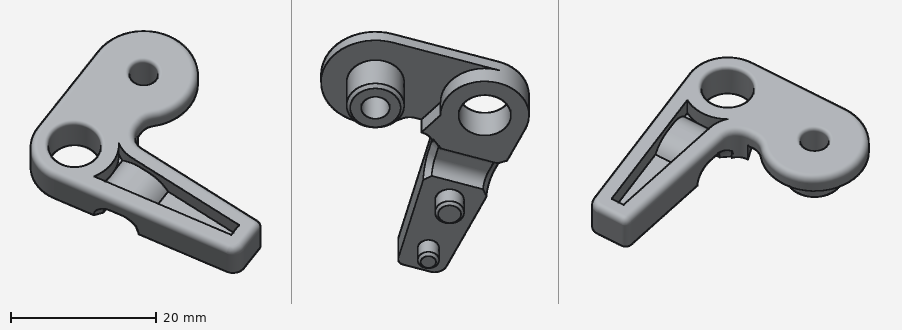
import cadquery as cq
import math

overall_length = 35.1
overall_width = 29.05

plate_thickness = 2.5
arm_depth = 5.25
post_depth = 8.25
boss_depth = 8.0
top_fillet = 1.0

hub_radius = 6.1
hub_hole_radius = 3.6
hole_fillet = 0.55

head_radius = 7.5
head_x = head_radius - hub_radius
head_y = overall_width - hub_radius - head_radius
head_hole_radius = 1.95
boss_radius = 3.95
boss_chamfer = 0.5

tip_x = overall_length - hub_radius
taper = math.radians(5)
arm_axis_y = -0.3
front_corner_radius = 1.83
back_corner_radius = 1.02
web = 2.5

neck_x = 5.72
neck_radius = 2.5
neck_center_x = neck_x + neck_radius

pocket_depth = 2.6
tunnel_x = 10.1
tunnel_flat = 1.55
tunnel_radius = 1.75
tunnel_flare = 1.0
flare_overrun = 0.35
hump_radius = 4.25
hub_shelf_y = 5.8

blank_size = 105.3
rim_margin = 0.35
rim_height = 0.05

post_chamfer = 0.42
posts = [(16.0, 2.0), (25.05, 1.47)]


def front_y(x, inset=0.0):
    """Y of the arm's front side, moved inward by inset."""
    return x * math.tan(taper) - (hub_radius - inset) / math.cos(taper)


def back_y(x, inset=0.0):
    """Y of the arm's back side, the mirror of the front side about the arm axis."""
    return 2 * arm_axis_y - front_y(x, inset)


neck_center_y = back_y(neck_center_x, -neck_radius)


def neck_point(radius, angle):
    return neck_center_x + radius * math.cos(angle), neck_center_y + radius * math.sin(angle)


neck_end_angle = -math.pi / 2 - taper


def arm_outline():
    """Open outline from the neck, around the tip, to the front of the hub."""
    neck_middle_angle = (neck_end_angle - math.pi) / 2
    front_tangent = (hub_radius * math.sin(taper), -hub_radius * math.cos(taper))
    return (
        cq.Workplane("XY")
        .moveTo(neck_x, neck_center_y)
        .threePointArc(neck_point(neck_radius, neck_middle_angle), neck_point(neck_radius, neck_end_angle))
        .lineTo(tip_x, back_y(tip_x))
        .lineTo(tip_x, front_y(tip_x))
        .lineTo(*front_tangent)
    )


def extrude_down(outline, depth):
    """Extrude an arm-tipped outline and round its two tip corners."""
    body = outline.close().extrude(-depth)
    body = body.edges("|Z").edges(">X").edges(">Y").fillet(back_corner_radius)
    return body.edges("|Z").edges(">X").edges("<Y").fillet(front_corner_radius)


def make_plate():
    center_spacing = head_radius + neck_radius
    reach_angle = math.acos((neck_center_x - head_x) / center_spacing)
    upper_center_y = head_y - center_spacing * math.sin(reach_angle)
    head_contact = (
        head_x + head_radius * math.cos(reach_angle),
        head_y - head_radius * math.sin(reach_angle),
    )
    arc_middle = (
        neck_center_x - neck_radius * math.cos(reach_angle / 2),
        upper_center_y + neck_radius * math.sin(reach_angle / 2),
    )
    hub_middle_angle = math.radians(225)
    outline = (
        arm_outline()
        .threePointArc(
            (hub_radius * math.cos(hub_middle_angle), hub_radius * math.sin(hub_middle_angle)),
            (-hub_radius, 0),
        )
        .lineTo(-hub_radius, head_y)
        .threePointArc((head_x, head_y + head_radius), head_contact)
        .threePointArc(arc_middle, (neck_x, upper_center_y))
    )
    return extrude_down(outline, plate_thickness).faces(">Z").edges().fillet(top_fillet)


def make_arm():
    shelf_x = math.sqrt(hub_radius**2 - hub_shelf_y**2)
    outline = arm_outline().threePointArc((-hub_radius, 0), (shelf_x, hub_shelf_y))
    top_slice = cq.Workplane("XY").box(blank_size, blank_size, plate_thickness, centered=(True, True, False))
    return extrude_down(outline, arm_depth).cut(top_slice.translate((0, 0, -plate_thickness)))


def cylinder_down(x, y, radius, depth):
    return cq.Workplane("XY").center(x, y).circle(radius).extrude(-depth)


def make_post(x, y, radius, depth, chamfer):
    """Pin reaching down from the plate's underside, chamfered at its end."""
    length = depth - plate_thickness
    post = cylinder_down(x, y, radius, length).faces("<Z").chamfer(chamfer)
    return post.translate((0, 0, -plate_thickness))


def arch_profile(radius, y):
    """Flat-topped arch standing on the arm's underside, in the plane at y."""
    left = tunnel_x - tunnel_flat / 2
    right = tunnel_x + tunnel_flat / 2
    diagonal = radius * math.sqrt(0.5)
    return (
        cq.Workplane("XZ", origin=(0, y, -arm_depth))
        .moveTo(left - radius, 0)
        .threePointArc((left - diagonal, diagonal), (left, radius))
        .lineTo(right, radius)
        .threePointArc((right + diagonal, diagonal), (right + radius, 0))
        .close()
    )


def make_pocket():
    """Arm outline inset by the web, bounded by the hub and the neck."""
    end_x = tip_x - web
    pocket = (
        cq.Workplane("XY")
        .moveTo(0, 0)
        .lineTo(0, front_y(0, web))
        .lineTo(end_x, front_y(end_x, web))
        .lineTo(end_x, back_y(end_x, web))
        .lineTo(*neck_point(neck_radius + web, neck_end_angle))
        .lineTo(neck_center_x, neck_center_y)
        .close()
        .extrude(-pocket_depth)
    )
    pocket = pocket.cut(cylinder_down(0, 0, hub_radius, pocket_depth))
    pocket = pocket.cut(cylinder_down(neck_center_x, neck_center_y, neck_radius + web, pocket_depth))
    return pocket.cut(arch_profile(hump_radius, hub_radius).extrude(2 * hub_radius))


def make_flare(mouth_y, inward):
    """Tapered mouth square to the arm's side at mouth_y; inward is the Y direction into the arm.

    The taper continues past the side so that it cuts the wall cleanly.
    """
    steps = [(tunnel_radius, tunnel_flare), (tunnel_radius + tunnel_flare + flare_overrun, -flare_overrun)]
    wires = [arch_profile(radius, mouth_y + inward * step).val() for radius, step in steps]
    throat_y = mouth_y + inward * tunnel_flare
    flare = cq.Workplane("XY").add(cq.Solid.makeLoft(wires, True))
    turn = math.degrees(inward * taper)
    return flare.rotate((tunnel_x, throat_y, 0), (tunnel_x, throat_y, 1), turn)


def make_tunnel():
    """Arched passage across the arm, flared where it meets each side."""
    tunnel = arch_profile(tunnel_radius, 2 * hub_radius).extrude(4 * hub_radius)
    front_flare = make_flare(front_y(tunnel_x), 1)
    back_flare = make_flare(back_y(tunnel_x), -1)
    arm_zone = cq.Workplane("XY").box(blank_size, blank_size, arm_depth, centered=(True, True, False))
    arm_zone = arm_zone.translate((0, 0, -plate_thickness - arm_depth))
    return tunnel.union(front_flare).union(back_flare).intersect(arm_zone)


def drill(body, x, y, radius):
    """Through hole with a rounded upper rim."""
    body = body.cut(cylinder_down(x, y, radius, post_depth))
    reach = radius + rim_margin
    rim = cq.selectors.BoxSelector((x - reach, y - reach, -rim_height), (x + reach, y + reach, rim_height))
    return body.edges(rim).fillet(hole_fillet)


result = make_plate().union(make_arm())
result = result.union(make_post(head_x, head_y, boss_radius, boss_depth, boss_chamfer))
for post_x, post_radius in posts:
    result = result.union(make_post(post_x, arm_axis_y, post_radius, post_depth, post_chamfer))
result = drill(result, 0, 0, hub_hole_radius)
result = drill(result, head_x, head_y, head_hole_radius)
result = result.cut(make_tunnel()).cut(make_pocket())